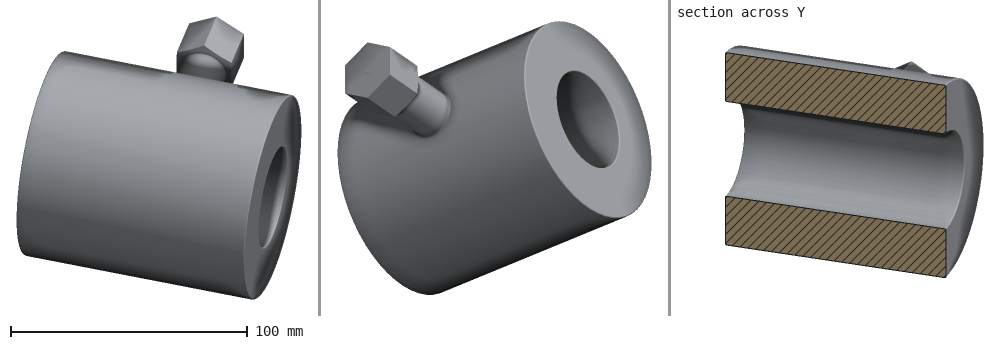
import cadquery as cq
import math

SLEEVE_LENGTH = 100.0
SLEEVE_DIAMETER = 88.0
BORE_DIAMETER = 43.1
RIM_FILLET = 0.6

CONNECTOR_REACH = 88.0
PIN_DIAMETER = 3.0
PIN_PROTRUSION = 0.2
NECK_DIAMETER = 20.0
NECK_FILLET = 1.0
HEAD_LENGTH = 20.0
HEAD_ACROSS_FLATS = 24.0
HEAD_CONE_ANGLE = 17.0
HEX_HALF_ANGLE = 30.0

SLEEVE_RADIUS = SLEEVE_DIAMETER / 2
NECK_RADIUS = NECK_DIAMETER / 2
HEAD_ACROSS_CORNERS = HEAD_ACROSS_FLATS / math.cos(math.radians(HEX_HALF_ANGLE))
HEAD_CORNER_RADIUS = HEAD_ACROSS_CORNERS / 2
HEAD_FACE_Y = CONNECTOR_REACH - PIN_PROTRUSION
HEAD_REAR_Y = HEAD_FACE_Y - HEAD_LENGTH


def make_sleeve():
    """Solid round body along X, centred on the origin, with rounded rims."""
    return (
        cq.Workplane("YZ")
        .circle(SLEEVE_RADIUS)
        .extrude(SLEEVE_LENGTH / 2, both=True)
        .edges("%CIRCLE")
        .fillet(RIM_FILLET)
    )


def make_neck():
    """Round neck from the sleeve axis to the rear of the head."""
    return cq.Workplane("XZ").circle(NECK_RADIUS).extrude(-HEAD_REAR_Y)


def make_head():
    """Hexagonal head with corners up and down and a conical rear face."""
    hexagon = (
        cq.Workplane("XZ", origin=(0, HEAD_REAR_Y, 0))
        .polygon(6, HEAD_ACROSS_CORNERS)
        .extrude(-HEAD_LENGTH)
        .rotate((0, 0, 0), (0, 1, 0), HEX_HALF_ANGLE)
    )
    cone_rise = (HEAD_CORNER_RADIUS - NECK_RADIUS) * math.tan(math.radians(HEAD_CONE_ANGLE))
    envelope = (
        cq.Workplane("XY")
        .moveTo(0, HEAD_REAR_Y)
        .lineTo(NECK_RADIUS, HEAD_REAR_Y)
        .lineTo(HEAD_CORNER_RADIUS, HEAD_REAR_Y + cone_rise)
        .lineTo(HEAD_CORNER_RADIUS, HEAD_FACE_Y)
        .lineTo(0, HEAD_FACE_Y)
        .close()
        .revolve(360, (0, 0, 0), (0, 1, 0))
    )
    return hexagon.intersect(envelope)


def make_pin():
    """Short pin on the connector axis, standing on the outer face of the head."""
    return (
        cq.Workplane("XZ", origin=(0, HEAD_FACE_Y, 0))
        .circle(PIN_DIAMETER / 2)
        .extrude(-PIN_PROTRUSION)
    )


def fillet_neck_root(body):
    """Round the seam where the neck meets the outside of the sleeve."""
    seam_zone = cq.selectors.BoxSelector(
        (-NECK_DIAMETER, 0, -NECK_DIAMETER),
        (NECK_DIAMETER, SLEEVE_RADIUS + NECK_FILLET, NECK_DIAMETER),
    )
    return body.edges(seam_zone).fillet(NECK_FILLET)


def cut_bore(body):
    """Cut the through bore along X and round its two mouths."""
    bore = cq.Workplane("YZ").circle(BORE_DIAMETER / 2).extrude(SLEEVE_LENGTH / 2, both=True)
    smallest_circles = cq.selectors.RadiusNthSelector(0)
    return body.cut(bore).faces("<X or >X").edges(smallest_circles).fillet(RIM_FILLET)


sleeve_with_neck = fillet_neck_root(make_sleeve().union(make_neck()))
result = cut_bore(sleeve_with_neck.union(make_head()).union(make_pin()))